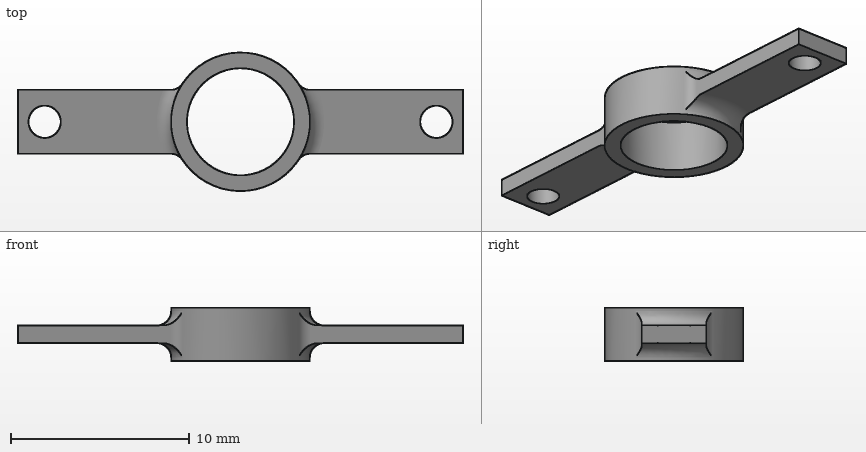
import cadquery as cq

length = 25.0
ring_diameter = 7.8
bore_diameter = 6.0
ring_height = 3.0

arm_width = 3.6
arm_thickness = 1.0
hole_diameter = 1.8
hole_end_distance = 1.5

blend_radius = 0.8


def centred_cylinder(diameter, height):
    base = cq.Workplane("XY").workplane(offset=-height / 2)
    return base.circle(diameter / 2).extrude(height)


def blend_arms(body):
    """Round all the edges where the arms meet the outside of the ring."""
    ring_radius = ring_diameter / 2
    margin = 0.02
    joint_box = cq.selectors.BoxSelector(
        (-ring_radius - margin, -arm_width / 2 - margin, -arm_thickness / 2 - margin),
        (ring_radius + margin, arm_width / 2 + margin, arm_thickness / 2 + margin),
        boundingbox=True,
    )
    return body.edges(joint_box).fillet(blend_radius)


arms = cq.Workplane("XY").box(length, arm_width, arm_thickness)
body = blend_arms(centred_cylinder(ring_diameter, ring_height).union(arms))

body = body.cut(centred_cylinder(bore_diameter, ring_height))

hole_x = length / 2 - hole_end_distance
for side in (-1, 1):
    hole = centred_cylinder(hole_diameter, arm_thickness)
    body = body.cut(hole.translate((side * hole_x, 0, 0)))

result = body